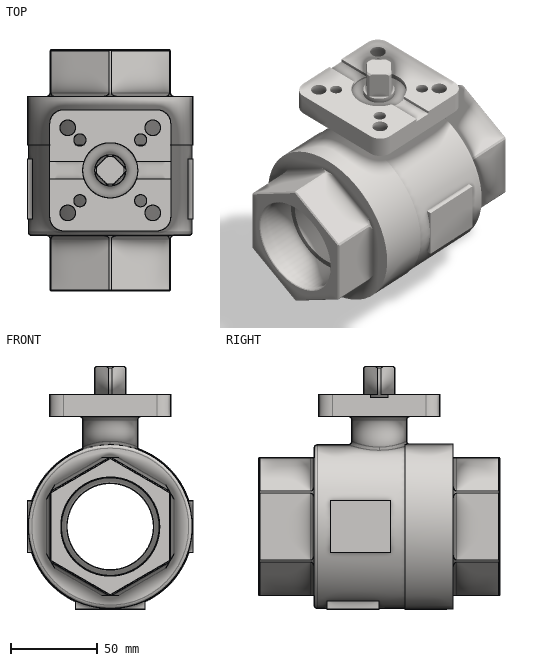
import cadquery as cq
import math


LENGTH = 140.0
TOTAL_HEIGHT = 141
FILLET = 2.0

BODY_DIAMETER = 95.0
COLLAR_DIAMETER = 96.0
BODY_FRONT_Y = -37.8
COLLAR_FRONT_Y = 14.8
COLLAR_BACK_Y = 42.9
PAD_WIDTH = 30.0
SIDE_PAD_LENGTH = 35.0
SIDE_PAD_CENTER_Y = -10.9
BOTTOM_PAD_LENGTH = 40.3
BOTTOM_PAD_CENTER_Y = -15.2

HEX_ACROSS_FLATS = 70.0
HEX_ACROSS_CORNERS = 80.0
HEX_TIP_CHAMFER = 0.7

BORE_DIAMETER = 50.0
SOCKET_DIAMETER = 56.7
SOCKET_DEPTH = 25.7
SOCKET_CHAMFER = 0.4

NECK_DIAMETER = 32.0
PLATE_SIDE = 70.2
PLATE_THICKNESS = 12.8
PLATE_CORNER_RADIUS = 8.0
RECESS_DIAMETER = NECK_DIAMETER
RECESS_DEPTH = 3.0
SLOT_WIDTH = 10.0
SLOT_DEPTH = 1.8
LARGE_HOLE_DIAMETER = 9.0
LARGE_HOLE_OFFSET = 24.7
SMALL_HOLE_DIAMETER = 7
SMALL_HOLE_OFFSET = 17.6

STEM_HEIGHT = 16.4
STEM_DIAMETER = 18.0
STEM_SQUARE = 14.1
STEM_CHAMFER = 1.0

END_Y = LENGTH / 2
COLLAR_RADIUS = COLLAR_DIAMETER / 2
STEM_TOP = TOTAL_HEIGHT - COLLAR_RADIUS
PLATE_TOP = STEM_TOP - STEM_HEIGHT
PLATE_BOTTOM = PLATE_TOP - PLATE_THICKNESS

Y_AXIS = ((0, 0, 0), (0, 1, 0))
Z_AXIS = ((0, 0, 0), (0, 0, 1))


def section_at(y):
    """Workplane across the bore at the given Y, facing +Y, with its local X along Z."""
    return cq.Workplane(cq.Plane(origin=(0, y, 0), xDir=(0, 0, 1), normal=(0, 1, 0)))


def level_at(z):
    """Horizontal workplane at the given height."""
    return cq.Workplane("XY", origin=(0, 0, z))


def cylinder_along_y(diameter, start, end):
    return section_at(start).circle(diameter / 2).extrude(end - start)


def body_with_neck_and_plate():
    """Round body, neck and mounting plate, with the neck filleted into both, plus the collar."""
    body = cylinder_along_y(BODY_DIAMETER, BODY_FRONT_Y, COLLAR_BACK_Y)
    body = body.faces("<Y").edges().fillet(FILLET)
    plate = level_at(PLATE_BOTTOM).rect(PLATE_SIDE, PLATE_SIDE).extrude(PLATE_THICKNESS)
    plate = plate.edges("|Z").fillet(PLATE_CORNER_RADIUS)
    neck = level_at(0).circle(NECK_DIAMETER / 2).extrude(PLATE_BOTTOM)
    joined = body.union(neck).union(plate)

    reach = NECK_DIAMETER / 2
    near_neck = cq.selectors.BoxSelector((-reach, -reach, 0), (reach, reach, PLATE_TOP))
    joined = joined.edges(near_neck).edges("not %LINE").fillet(FILLET)
    return joined.union(cylinder_along_y(COLLAR_DIAMETER, COLLAR_FRONT_Y, COLLAR_BACK_Y))


def pads():
    """Flat pads on both sides and underneath, level with the collar."""
    sides = (
        level_at(0)
        .center(0, SIDE_PAD_CENTER_Y)
        .rect(COLLAR_DIAMETER, SIDE_PAD_LENGTH)
        .extrude(PAD_WIDTH / 2, both=True)
    )
    bottom = (
        level_at(-COLLAR_RADIUS)
        .center(0, BOTTOM_PAD_CENTER_Y)
        .rect(BOTTOM_PAD_LENGTH, PAD_WIDTH)
        .extrude(COLLAR_RADIUS)
    )
    return sides.union(bottom)


def plate_cuts():
    """Round recess, cross slot along X and four pairs of through holes in the mounting plate."""
    top = level_at(PLATE_TOP)
    cuts = top.circle(RECESS_DIAMETER / 2).extrude(-RECESS_DEPTH)
    cuts = cuts.union(top.rect(PLATE_SIDE, SLOT_WIDTH).extrude(-SLOT_DEPTH))
    hole_sets = (
        (LARGE_HOLE_DIAMETER, LARGE_HOLE_OFFSET),
        (SMALL_HOLE_DIAMETER, SMALL_HOLE_OFFSET),
    )
    for diameter, offset in hole_sets:
        centers = top.rect(2 * offset, 2 * offset, forConstruction=True).vertices()
        cuts = cuts.union(centers.circle(diameter / 2).extrude(-PLATE_THICKNESS))
    return cuts


def stem():
    """Round foot in the recess, then a square drive with its corners pointing along X and Y."""
    foot = level_at(PLATE_TOP - RECESS_DEPTH).circle(STEM_DIAMETER / 2).extrude(RECESS_DEPTH)
    rod = level_at(PLATE_TOP).circle(STEM_DIAMETER / 2).extrude(STEM_HEIGHT)
    rod = rod.faces(">Z").chamfer(STEM_CHAMFER)
    square = level_at(PLATE_TOP).rect(STEM_SQUARE, STEM_SQUARE).extrude(STEM_HEIGHT)
    return foot.union(rod.intersect(square.rotate(*Z_AXIS, 45)))


def hex_slab(length):
    """Slab from Y = 0 to +Y with two opposite hexagon flats, flared at the base and chamfered at the tip."""
    half = HEX_ACROSS_FLATS / 2
    flare = half + FILLET
    tip = half - HEX_TIP_CHAMFER
    return (
        cq.Workplane("XY")
        .moveTo(-flare, 0)
        .radiusArc((-half, FILLET), -FILLET)
        .lineTo(-half, length - HEX_TIP_CHAMFER)
        .lineTo(-tip, length)
        .lineTo(tip, length)
        .lineTo(half, length - HEX_TIP_CHAMFER)
        .lineTo(half, FILLET)
        .radiusArc((flare, 0), -FILLET)
        .close()
        .extrude(HEX_ACROSS_CORNERS, both=True)
    )


def hex_end(length):
    """Hexagonal end from Y = 0 to +Y: three crossed slabs, with corners up and down, all six cut flat."""
    trim_diameter = HEX_ACROSS_CORNERS / math.cos(math.pi / 6)
    end = section_at(0).polygon(6, trim_diameter).extrude(length).rotate(*Y_AXIS, 30)
    for turn in (0, 60, 120):
        end = end.intersect(hex_slab(length).rotate(*Y_AXIS, turn))
    return end


def bore_half():
    """Void from the middle of the valve to the +Y end: bore, wider socket and its entry chamfer."""
    bore = BORE_DIAMETER / 2
    socket = SOCKET_DIAMETER / 2
    profile = [
        (0, 0),
        (bore, 0),
        (bore, END_Y - SOCKET_DEPTH),
        (socket, END_Y - SOCKET_DEPTH),
        (socket, END_Y - SOCKET_CHAMFER),
        (socket + SOCKET_CHAMFER, END_Y),
        (0, END_Y),
    ]
    return cq.Workplane("XY").polyline(profile).close().revolve(360, *Y_AXIS)


back_hex = hex_end(END_Y - COLLAR_BACK_Y).translate((0, COLLAR_BACK_Y, 0))
front_hex = hex_end(END_Y + BODY_FRONT_Y).mirror("XZ").translate((0, BODY_FRONT_Y, 0))

result = body_with_neck_and_plate().union(pads())
result = result.cut(plate_cuts()).union(stem())
result = result.union(back_hex).union(front_hex)
result = result.cut(bore_half()).cut(bore_half().mirror("XZ"))